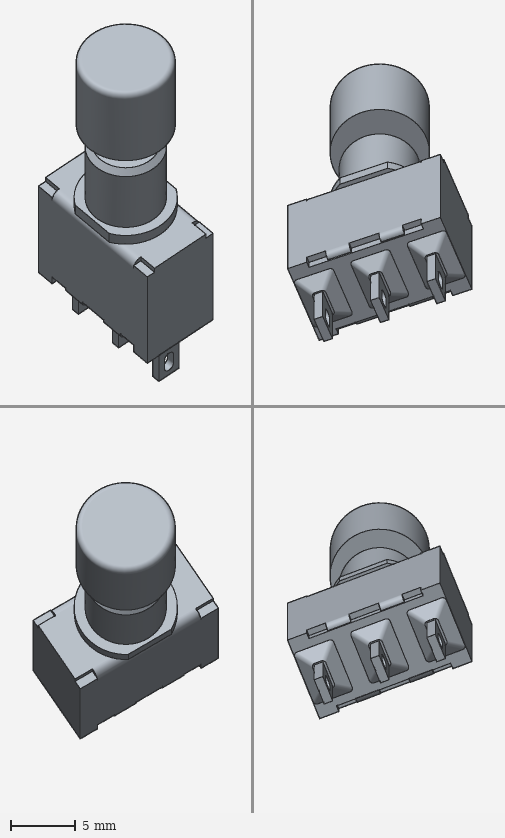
import cadquery as cq

overall_height = 32.55

housing_length = 12.7
housing_depth = 6.85
housing_bottom = 4.95
housing_top = 15.43

strip_length = 9.5
strip_radius = 0.75
step_depth = strip_radius
step_drop = 0.45

recess_height = 0.78
recess_depth = 0.5
tab_width = 1.95
tab_offset = 2.2
tab_bottom_gap = 0.2
tab_radius = 0.5

terminal_pitch = 4.7
terminal_thickness = 0.7
terminal_width = 2.1
slot_length = 1.95
slot_width = 0.9
slot_bottom = 0.55
seal_height = 0.98
seal_length = 3.25
seal_width = 4.5
seal_inset = 1.07
seal_corner_radius = 0.3

collar_diameter = 8.0
collar_across_flats = 6.95
collar_height = 1.0
bushing_diameter = 6.3
bushing_top = 22.82
bushing_chamfer = 0.5
plunger_diameter = 3.1

cap_diameter = 7.7
cap_bottom = 24.95
cap_edge_radius = 0.5

front_face = housing_depth / 2
terminal_positions = [-terminal_pitch, 0, terminal_pitch]


def box(x_size, y_size, bottom, top, x_center=0.0, y_center=0.0):
    """Box centred on (x_center, y_center) between two heights."""
    return (
        cq.Workplane("XY", origin=(x_center, y_center, bottom))
        .rect(x_size, y_size)
        .extrude(top - bottom)
    )


def cylinder(diameter, bottom, top):
    return cq.Workplane("XY", origin=(0, 0, bottom)).circle(diameter / 2).extrude(top - bottom)


def make_housing_block():
    """Block with rounded strips along its top edges, stepped down at the four top corners."""
    middle = box(strip_length, housing_depth, housing_bottom, housing_top)
    rounded_middle = middle.edges("|X and >Z").fillet(strip_radius)
    lower_block = box(housing_length, housing_depth, housing_bottom, housing_top - step_drop)
    top_plate = box(housing_length, housing_depth - 2 * step_depth, housing_bottom, housing_top)
    return lower_block.union(top_plate).cut(middle).union(rounded_middle)


def make_recess(side):
    """Recess under one long edge; side is -1 for the -Y face and +1 for the +Y face."""
    y_center = side * (front_face - recess_depth / 2)
    return box(strip_length, recess_depth, housing_bottom, housing_bottom + recess_height, 0, y_center)


def make_tab(x_center, side):
    """Tab flush with the housing face, with a rounded lower outer edge."""
    depth = 2 * recess_depth
    y_center = side * (front_face - depth / 2)
    bottom = housing_bottom + tab_bottom_gap
    tab = box(tab_width, depth, bottom, housing_bottom + recess_height, x_center, y_center)
    outer_edge = "|X and <Z and >Y" if side > 0 else "|X and <Z and <Y"
    return tab.edges(outer_edge).fillet(tab_radius)


def make_housing():
    housing = make_housing_block()
    for side in (-1, 1):
        housing = housing.cut(make_recess(side))
        for x_center in (-tab_offset, tab_offset):
            housing = housing.union(make_tab(x_center, side))
    return housing


def rounded_rectangle(x_size, y_size):
    return cq.Sketch().rect(x_size, y_size).vertices().fillet(seal_corner_radius)


def make_terminal(x_center):
    """Flat terminal with a solder slot, and the tapered seal where it leaves the housing."""
    blade = box(terminal_thickness, terminal_width, 0, housing_bottom, x_center)
    slot = (
        cq.Workplane("YZ", origin=(x_center, 0, slot_bottom + slot_length / 2))
        .slot2D(slot_length, slot_width, 90)
        .extrude(terminal_thickness, both=True)
    )
    shrink = 2 * seal_inset
    root = rounded_rectangle(seal_length, seal_width)
    end = rounded_rectangle(seal_length - shrink, seal_width - shrink)
    end = end.moved(cq.Location((0, 0, -seal_height)))
    seal = cq.Workplane("XY", origin=(x_center, 0, housing_bottom)).placeSketch(root, end).loft()
    return blade.cut(slot).union(seal)


def make_collar():
    """Round collar with a flat on its -Y and +Y sides."""
    top = housing_top + collar_height
    flats = box(collar_diameter, collar_across_flats, housing_top, top)
    return cylinder(collar_diameter, housing_top, top).intersect(flats)


def make_switch():
    switch = make_housing()
    for x_center in terminal_positions:
        switch = switch.union(make_terminal(x_center))
    bushing = cylinder(bushing_diameter, housing_top, bushing_top).faces(">Z").chamfer(bushing_chamfer)
    plunger = cylinder(plunger_diameter, housing_top, cap_bottom)
    return switch.union(make_collar()).union(bushing).union(plunger)


def make_cap():
    """Round cap resting on the plunger end, with a rounded top edge."""
    return cylinder(cap_diameter, cap_bottom, overall_height).faces(">Z").edges().fillet(cap_edge_radius)


switch = make_switch()
cap = make_cap()

result = cq.Compound.makeCompound([switch.val(), cap.val()])